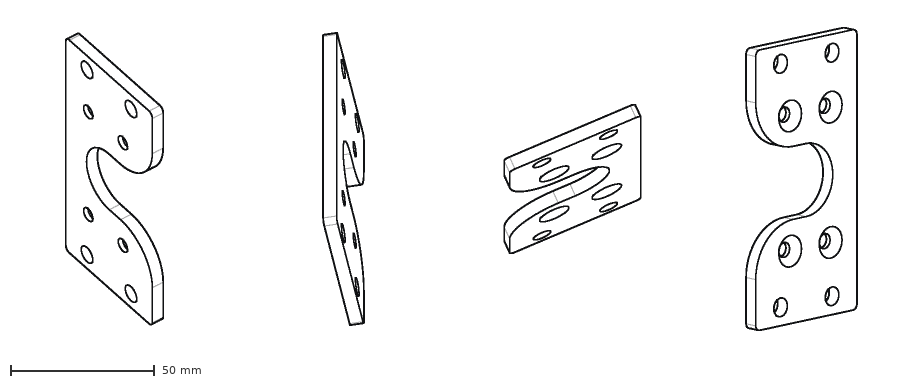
import cadquery as cq

width = 50.0
thickness = 4.8
height = 100.0
corner_radius = 2.0

notch_radius = 13.0
notch_center_x = 0.0
mouth_radius = 18.5

large_diameter = 6.6
large_x_positions = (-12.7, 12.7)
large_z = 43.4
small_diameter = 5.3
small_x_positions = (-12.0, 8.0)
small_z = 24.1

countersink_diameter = 11.2

right = width / 2
top = height / 2
mouth_start_x = right - mouth_radius
mouth_end_z = notch_radius + mouth_radius


def make_plate():
    """Notched plate with rounded outer corners."""
    outline = (
        cq.Workplane("XZ", origin=(0, thickness / 2, 0))
        .moveTo(-right, -top)
        .lineTo(right, -top)
        .lineTo(right, -mouth_end_z)
        .radiusArc((mouth_start_x, -notch_radius), -mouth_radius)
        .lineTo(notch_center_x, -notch_radius)
        .threePointArc((notch_center_x - notch_radius, 0), (notch_center_x, notch_radius))
        .lineTo(mouth_start_x, notch_radius)
        .radiusArc((right, mouth_end_z), -mouth_radius)
        .lineTo(right, top)
        .lineTo(-right, top)
        .close()
    )
    plate = outline.extrude(thickness)
    corners = plate.edges("|Y").edges("<Z or >Z")
    return corners.fillet(corner_radius)


def hole_centers(x_positions, z):
    """Give each X position a hole above and one below the mid-plane."""
    return [(x, side * z) for x in x_positions for side in (-1, 1)]


def drill_holes(plate, centers, diameter):
    """Drill plain through holes."""
    return plate.faces("<Y").workplane(origin=(0, 0, 0)).pushPoints(centers).hole(diameter)


def countersink_back(plate, centers):
    """Cut cones that narrow from the +Y face down to the small holes."""
    mouth = countersink_diameter / 2
    throat = small_diameter / 2
    depth = mouth - throat
    inward = cq.Vector(0, -1, 0)
    for x, z in centers:
        face_center = cq.Vector(x, thickness / 2, z)
        plate = plate.cut(cq.Workplane(cq.Solid.makeCone(mouth, throat, depth, face_center, inward)))
    return plate


large_centers = hole_centers(large_x_positions, large_z)
small_centers = hole_centers(small_x_positions, small_z)

result = make_plate()
result = drill_holes(result, large_centers, large_diameter)
result = drill_holes(result, small_centers, small_diameter)
result = countersink_back(result, small_centers)